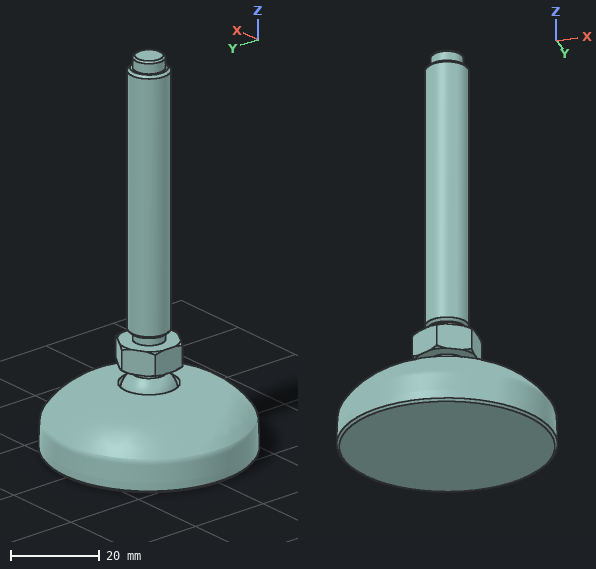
import cadquery as cq
import math

pad_diameter = 50.0
pad_top = 16.5
pad_bottom_chamfer = 0.6
band_top = 2.6
wall_top = 7.0
wall_top_radius = 24.8
dome_start = 8.2
dome_start_radius = 24.5
flat_top_diameter = 18.1

ball_diameter = 13.3
socket_diameter = 14.0
neck_diameter = 8.1
ball_neck_height = 19.2

hex_bottom = 21.2
hex_height = 6.0
hex_across_flats = 14.0
hex_face_diameter = 14.5
hex_chamfer_angle = 30

stem_diameter = 10.0
undercut_diameter = 7.5
stem_bottom = 29.3
stem_top = 94.2
stem_chamfer = 0.7
pilot_diameter = 7.5
pilot_chamfer = 0.5
total_height = 97.2

ball_radius = ball_diameter / 2
ball_center = ball_neck_height - math.sqrt(ball_radius**2 - (neck_diameter / 2) ** 2)
hex_top = hex_bottom + hex_height


def cylinder(diameter, bottom, top):
    return cq.Workplane("XY").workplane(offset=bottom).circle(diameter / 2).extrude(top - bottom)


def make_pad():
    """Domed disc; the dome is an arc tangent to the flat top."""
    pad_radius = pad_diameter / 2
    flat_radius = flat_top_diameter / 2
    dome_run = dome_start_radius - flat_radius
    dome_drop = pad_top - dome_start
    dome_radius = (dome_run**2 + dome_drop**2) / (2 * dome_drop)
    half_angle = math.atan2(dome_run, dome_radius - dome_drop) / 2
    dome_middle = (
        flat_radius + dome_radius * math.sin(half_angle),
        pad_top - dome_radius * (1 - math.cos(half_angle)),
    )
    profile = (
        cq.Workplane("XZ")
        .lineTo(pad_radius - pad_bottom_chamfer, 0)
        .lineTo(pad_radius, pad_bottom_chamfer)
        .lineTo(pad_radius, band_top)
        .lineTo(wall_top_radius, wall_top)
        .tangentArcPoint((dome_start_radius, dome_start), relative=False)
        .threePointArc(dome_middle, (flat_radius, pad_top))
        .lineTo(0, pad_top)
        .close()
    )
    pad = profile.revolve(360, (0, 0, 0), (0, 1, 0))
    return pad.cut(cylinder(socket_diameter, ball_center, pad_top))


def make_ball():
    return cq.Workplane("XY").sphere(ball_radius).translate((0, 0, ball_center))


def make_hex():
    """Hexagon with corners along Y and conical chamfers at both ends."""
    corner_diameter = hex_across_flats / math.cos(math.pi / 6)
    prism = (
        cq.Workplane("XY")
        .workplane(offset=hex_bottom)
        .polygon(6, corner_diameter)
        .extrude(hex_height)
        .rotate((0, 0, 0), (0, 0, 1), 30)
    )
    chamfer_width = (corner_diameter - hex_face_diameter) / 2
    chamfer_height = chamfer_width * math.tan(math.radians(hex_chamfer_angle))
    envelope = (
        cylinder(corner_diameter, hex_bottom, hex_top)
        .faces("<Z").chamfer(chamfer_height, chamfer_width)
        .faces(">Z").chamfer(chamfer_height, chamfer_width)
    )
    return prism.intersect(envelope)


def make_stem():
    neck = cylinder(neck_diameter, ball_center, hex_bottom)
    undercut = cylinder(undercut_diameter, hex_top, stem_bottom)
    shank = cylinder(stem_diameter, stem_bottom, stem_top).faces("<Z or >Z").chamfer(stem_chamfer)
    pilot = cylinder(pilot_diameter, stem_top, total_height).faces(">Z").chamfer(pilot_chamfer)
    return neck, undercut, shank, pilot


result = make_pad().union(make_ball()).union(make_hex())
for section in make_stem():
    result = result.union(section)